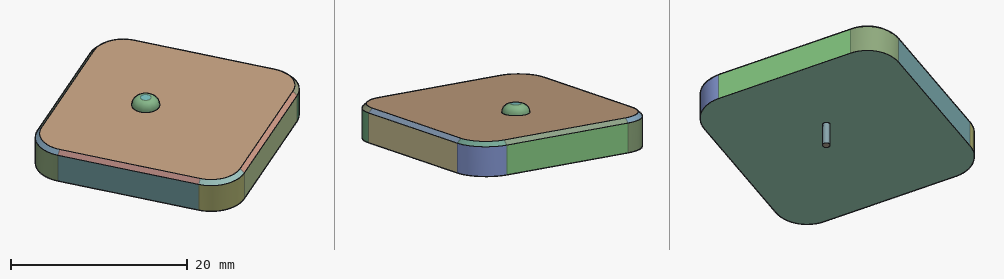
import cadquery as cq

body_side = 25.0
body_height = 4.0
corner_radius = 4.0
top_chamfer = 0.5

feed_x = -2.6
pin_diameter = 0.85
pin_length = 3.0
head_diameter = 3.2
head_height = 1.0


def make_body():
    """Rounded square slab with a chamfered top rim."""
    slab = cq.Workplane("XY").rect(body_side, body_side).extrude(body_height)
    return slab.edges("|Z").fillet(corner_radius).faces(">Z").chamfer(top_chamfer)


def make_head():
    """Round head whose shoulder is a full-height quarter round, leaving a flat on top."""
    flat_radius = head_diameter / 2 - head_height
    profile = (
        cq.Workplane("XZ", origin=(feed_x, 0, body_height))
        .lineTo(head_diameter / 2, 0)
        .radiusArc((flat_radius, head_height), -head_height)
        .lineTo(0, head_height)
        .close()
    )
    return profile.revolve(360, (0, 0, 0), (0, 1, 0))


def make_pin():
    """Straight pin hanging below the body."""
    return cq.Workplane("XY").center(feed_x, 0).circle(pin_diameter / 2).extrude(-pin_length)


result = make_body().union(make_head()).union(make_pin())